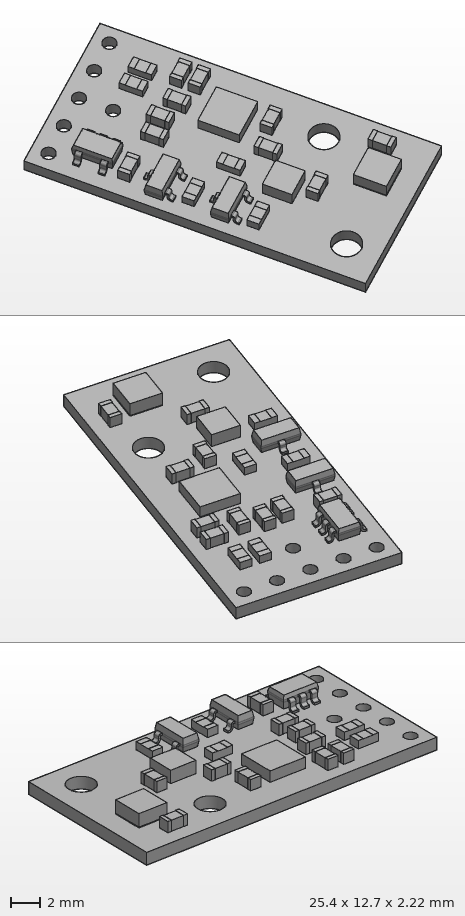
import cadquery as cq

BOARD_LENGTH = 25.4
BOARD_WIDTH = 12.7
BOARD_THICKNESS = 1.0

PITCH = 2.54
PIN_HOLE_DIAMETER = 1.02
PIN_COUNT = 5
PIN_EDGE_OFFSET = PITCH / 2
PIN_HOLES = [(PIN_EDGE_OFFSET, PIN_EDGE_OFFSET + row * PITCH) for row in range(PIN_COUNT)]
PIN_HOLES.append((PIN_EDGE_OFFSET + PITCH, BOARD_WIDTH / 2))

MOUNTING_HOLE_DIAMETER = 2.18
MOUNTING_HOLES = [(BOARD_LENGTH - PITCH, PITCH), (7 * PITCH, 4 * PITCH)]

CHIP_WIDTH = 0.9
TERMINAL_WRAP = 0.02
LOW_CHIP = {"length": 1.75, "height": 0.65, "terminal": 0.45, "side_wrap": 0}
TALL_CHIP = {"length": 1.7, "height": 0.88, "terminal": 0.32, "side_wrap": TERMINAL_WRAP}

LOW_CHIPS_ALONG_X = [(4.30, 10.16), (4.30, 8.66), (13.06, 5.26)]
LOW_CHIPS_ALONG_Y = [(11.68, 2.06), (16.50, 2.06)]
TALL_CHIPS_ALONG_X = [(7.58, 8.54), (7.10, 6.83), (7.34, 5.35), (14.88, 7.36), (21.71, 11.05)]
TALL_CHIPS_ALONG_Y = [(6.85, 10.80), (8.23, 10.80), (6.85, 2.13), (14.07, 9.67), (19.18, 5.86)]

LARGE_IC = {"center": (11.20, 8.89), "length": 3.08, "width": 3.08, "height": 0.88}
MEDIUM_IC = {"center": (17.00, 5.21), "length": 2.2, "width": 2.2, "height": 1.04}
SENSOR = {"center": (22.48, 8.53), "length": 2.46, "width": 2.5, "height": 1.15}
SENSOR_STANDOFF = 0.06
SENSOR_PAD_INSET = 0.05

MOLD_LENGTH = 3.04
MOLD_BOTTOM = 0.16
MOLD_TOP = 1.22
MOLD_TOP_TAPER = 0.09
MOLD_BOTTOM_TAPER = 0.06
LEAD_THICKNESS = 0.16
LEAD_REACH = 0.62
LEAD_FOOT = 0.1
LEAD_FOOT_RADIUS = 0.2
LEAD_SHOULDER_RADIUS = 0.05
LEAD_PITCH = 0.95
LEAD_EMBED = 0.2

FIVE_LEAD = {"mold_width": 1.72, "lead_width": 0.5, "lead_top": 0.89}
FIVE_LEAD_CENTER = (4.33, PITCH)
THREE_LEAD = {"mold_width": 1.38, "lead_width": 0.48, "lead_top": 0.73}
THREE_LEAD_CENTERS = [(9.36, 2.14), (14.24, 2.22)]


def block(length, width, height, base=0):
    """Rectangular block centred in X and Y, standing on Z = base."""
    return cq.Workplane("XY").workplane(offset=base).rect(length, width).extrude(height)


def placed(part, center, angle=0):
    """Turn a part about Z and set it on the board surface at a centre point."""
    turned = part.rotate((0, 0, 0), (0, 0, 1), angle)
    return turned.translate((center[0], center[1], BOARD_THICKNESS))


def make_board():
    board = block(BOARD_LENGTH, BOARD_WIDTH, BOARD_THICKNESS)
    board = board.translate((BOARD_LENGTH / 2, BOARD_WIDTH / 2, 0))
    for holes, diameter in ((PIN_HOLES, PIN_HOLE_DIAMETER), (MOUNTING_HOLES, MOUNTING_HOLE_DIAMETER)):
        cutters = cq.Workplane("XY").pushPoints(holes).circle(diameter / 2).extrude(BOARD_THICKNESS)
        board = board.cut(cutters)
    return board


def make_chip(length, height, terminal, side_wrap):
    """Chip component lying along X with a terminal on each end."""
    ceramic = block(length - terminal, CHIP_WIDTH - 2 * side_wrap, height - TERMINAL_WRAP)
    end_cap = block(terminal, CHIP_WIDTH, height)
    end_offset = (length - terminal) / 2
    return (
        ceramic
        .union(end_cap.translate((end_offset, 0, 0)))
        .union(end_cap.translate((-end_offset, 0, 0)))
    )


def make_chips():
    low_chip = make_chip(**LOW_CHIP)
    tall_chip = make_chip(**TALL_CHIP)
    layout = (
        (low_chip, LOW_CHIPS_ALONG_X, 0),
        (low_chip, LOW_CHIPS_ALONG_Y, 90),
        (tall_chip, TALL_CHIPS_ALONG_X, 0),
        (tall_chip, TALL_CHIPS_ALONG_Y, 90),
    )
    return [placed(chip, center, angle) for chip, centers, angle in layout for center in centers]


def make_plain_ic(center, length, width, height):
    return placed(block(length, width, height), center)


def make_sensor(center, length, width, height):
    """Sensor held just off the board by a slightly smaller pad."""
    body = block(length, width, height - SENSOR_STANDOFF, SENSOR_STANDOFF)
    pad = block(length - 2 * SENSOR_PAD_INSET, width - 2 * SENSOR_PAD_INSET, SENSOR_STANDOFF)
    return placed(body.union(pad), center)


def mold_half(width, split, end, taper):
    """Half of a moulded body, narrowing by taper per side from the height split to the height end."""
    return (
        cq.Workplane("XY").workplane(offset=split)
        .rect(width, MOLD_LENGTH)
        .workplane(offset=end - split)
        .rect(width - 2 * taper, MOLD_LENGTH - 2 * taper)
        .loft(ruled=True)
    )


def make_mold(width, lead_top):
    """Moulded body with a straight band at lead height and tapers above and below it."""
    lead_bottom = lead_top - LEAD_THICKNESS
    band = block(width, MOLD_LENGTH, LEAD_THICKNESS, lead_bottom)
    upper = mold_half(width, lead_top, MOLD_TOP, MOLD_TOP_TAPER)
    lower = mold_half(width, lead_bottom, MOLD_BOTTOM, MOLD_BOTTOM_TAPER)
    return band.union(upper).union(lower)


def make_lead(mold_width, lead_width, lead_top):
    """Gull-wing lead on the +X side: shoulder, upright leg and foot of constant thickness."""
    root = mold_width / 2 - LEAD_EMBED
    tip = mold_width / 2 + LEAD_REACH
    foot_start = tip - LEAD_FOOT
    leg_outside = foot_start - LEAD_FOOT_RADIUS
    leg_inside = leg_outside - LEAD_THICKNESS
    shoulder_end = leg_inside - LEAD_SHOULDER_RADIUS
    lead_bottom = lead_top - LEAD_THICKNESS
    leg_top = lead_bottom - LEAD_SHOULDER_RADIUS
    leg_bottom = LEAD_THICKNESS + LEAD_FOOT_RADIUS
    return (
        cq.Workplane("XZ", origin=(0, lead_width / 2, 0))
        .moveTo(root, lead_top)
        .lineTo(shoulder_end, lead_top)
        .radiusArc((leg_outside, leg_top), LEAD_SHOULDER_RADIUS + LEAD_THICKNESS)
        .lineTo(leg_outside, leg_bottom)
        .radiusArc((foot_start, LEAD_THICKNESS), -LEAD_FOOT_RADIUS)
        .lineTo(tip, LEAD_THICKNESS)
        .lineTo(tip, 0)
        .lineTo(foot_start, 0)
        .radiusArc((leg_inside, leg_bottom), LEAD_FOOT_RADIUS + LEAD_THICKNESS)
        .lineTo(leg_inside, leg_top)
        .radiusArc((shoulder_end, lead_bottom), -LEAD_SHOULDER_RADIUS)
        .lineTo(root, lead_bottom)
        .close()
        .extrude(lead_width)
    )


def make_leaded_package(plus_x_leads, minus_x_leads, mold_width, lead_width, lead_top):
    """Moulded package with leads on its +X and -X sides, placed in steps of the lead pitch."""
    package = make_mold(mold_width, lead_top)
    plus_x_lead = make_lead(mold_width, lead_width, lead_top)
    minus_x_lead = plus_x_lead.rotate((0, 0, 0), (0, 0, 1), 180)
    for lead, steps in ((plus_x_lead, plus_x_leads), (minus_x_lead, minus_x_leads)):
        for step in steps:
            package = package.union(lead.translate((0, step * LEAD_PITCH, 0)))
    return package


def make_leaded_packages():
    five_lead = make_leaded_package((-1, 0, 1), (-1, 1), **FIVE_LEAD)
    three_lead = make_leaded_package((-1, 1), (0,), **THREE_LEAD)
    packages = [placed(three_lead, center) for center in THREE_LEAD_CENTERS]
    packages.append(placed(five_lead, FIVE_LEAD_CENTER, 90))
    return packages


result = make_board()
components = make_chips() + make_leaded_packages()
components += [make_plain_ic(**LARGE_IC), make_plain_ic(**MEDIUM_IC), make_sensor(**SENSOR)]
for component in components:
    result = result.union(component)